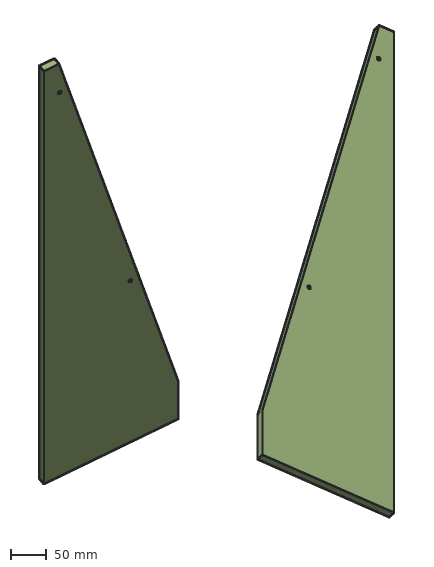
import cadquery as cq

thickness = 12.0
depth = 222.0
height = 868.0

top_depth = 25.0
back_edge_height = 80.0

hole_diameter = 5.3
hole_centers = [(26.0, 807.0), (143.0, 339.5)]

outline = [
    (0, 0),
    (depth, 0),
    (depth, back_edge_height),
    (top_depth, height),
    (0, height),
]
panel = cq.Workplane("YZ").polyline(outline).close().extrude(thickness)

holes = (
    cq.Workplane("YZ")
    .pushPoints(hole_centers)
    .circle(hole_diameter / 2)
    .extrude(thickness)
)

result = panel.cut(holes)